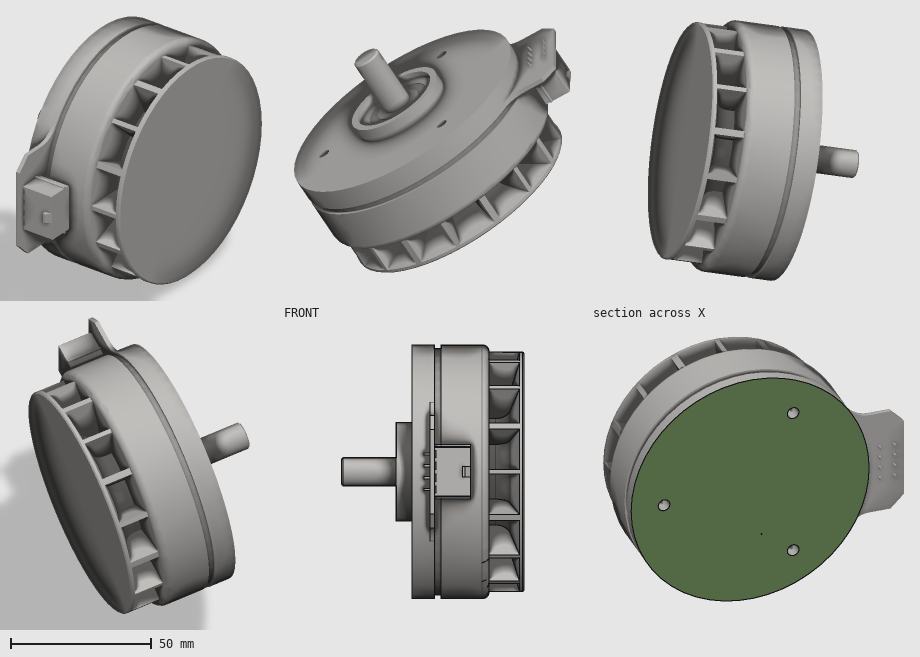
import cadquery as cq
import math


shaft_diameter = 10.0
shaft_tip_x = -25.0
shaft_chamfer = 0.6
boss_diameter = 35.0
boss_height = 5.6
bearing_seat_diameter = 30.0
bearing_seat_depth = 2.6
shield_outer_diameter = 23.4
shield_inner_diameter = 16.6
shield_depth = 0.3

body_diameter = 90.0
flange_thickness = 6.4
mount_hole_count = 3
mount_hole_diameter = 4.2
mount_hole_depth = 8.0
mount_hole_tip_angle = 118.0
mount_circle_radius = 32.5

board_thickness = 1.6
tab_end_y = -59.0
tab_width = 40.0
tab_corner_chamfer = 5.0
tab_root_radius = 10.0

air_gap = 2.4
gap_diameter = 87.5
bell_length = 17.0
bell_edge_radius = 2.5

fan_diameter = 85.0
blade_length = 10.8
rim_thickness = 1.6
rim_chamfer = 0.5
hub_diameter = 54.4
hub_curve_radius = 5.4
cone_root_x = 33.6
blade_pair_count = 8
main_blade_tip = 1.7
wide_blade_tip = 2.4

housing_near_y = -47.0
housing_far_y = -57.0
housing_width = 17.8
housing_height = 12.8
housing_chamfer = 0.3
rib_near_y = -49.0
rib_far_y = -49.9
rib_height = 0.7
latch_width = 3.6
latch_length = 2.9
latch_tip_length = 1.0
latch_height = 1.6
notch_width = 2.6
notch_height = 0.6
notch_depth = 1.0
side_notch_height = 0.25
side_notch_depth = 0.3

pin_rows_y = (-49.9, -55.2)
pin_pitch = 4.2
pins_per_row = 4
pin_size = 0.8
pin_protrusion = 2.1

board_front_x = flange_thickness
board_back_x = board_front_x + board_thickness
bell_front_x = board_back_x + air_gap
bell_back_x = bell_front_x + bell_length
rim_front_x = bell_back_x + blade_length
rim_back_x = rim_front_x + rim_thickness
body_radius = body_diameter / 2
fan_radius = fan_diameter / 2
hub_radius = hub_diameter / 2


def disc(diameter, x_start, x_end):
    """Cylinder about the motor axis between two stations."""
    return cq.Workplane("YZ", origin=(x_start, 0, 0)).circle(diameter / 2).extrude(x_end - x_start)


def block(x_start, x_end, y_start, y_end, z_center, z_width):
    """Box given by its X and Y limits and its width about a Z position."""
    return (
        cq.Workplane("XY", origin=(x_start, y_start, z_center - z_width / 2))
        .box(x_end - x_start, y_end - y_start, z_width, centered=False)
    )


def pin_heights():
    """Z positions of the pins in one row."""
    return [(i - (pins_per_row - 1) / 2) * pin_pitch for i in range(pins_per_row)]


def make_front_boss():
    """Bearing boss with a recessed bearing, its shield groove and the shaft."""
    seat_floor_x = -boss_height + bearing_seat_depth
    boss = disc(boss_diameter, -boss_height, 0)
    boss = boss.cut(disc(bearing_seat_diameter, -boss_height, seat_floor_x))
    shield_end_x = seat_floor_x + shield_depth
    shield = disc(shield_outer_diameter, seat_floor_x, shield_end_x)
    shield = shield.cut(disc(shield_inner_diameter, seat_floor_x, shield_end_x))
    shaft = disc(shaft_diameter, shaft_tip_x, 0).faces("<X").chamfer(shaft_chamfer)
    return boss.cut(shield).union(shaft)


def make_mount_holes():
    """Blind drilled holes with conical ends, the first one towards +Y."""
    radius = mount_hole_diameter / 2
    tip_length = radius / math.tan(math.radians(mount_hole_tip_angle / 2))
    drill = (
        cq.Workplane("XY")
        .polyline([(0, 0), (0, radius), (mount_hole_depth, radius), (mount_hole_depth + tip_length, 0)])
        .close()
        .revolve(360, (0, 0, 0), (1, 0, 0))
        .translate((0, mount_circle_radius, 0))
    )
    holes = cq.Workplane("XY")
    for i in range(mount_hole_count):
        holes = holes.union(drill.rotate((0, 0, 0), (1, 0, 0), i * 360 / mount_hole_count))
    return holes


def make_board():
    """Round board with a chamfered tab that flares into the disc."""
    half_width = tab_width / 2
    center_distance = body_radius + tab_root_radius
    root_z = half_width + tab_root_radius
    root_y = -math.sqrt(center_distance ** 2 - root_z ** 2)
    touch_ratio = body_radius / center_distance
    touch = (root_y * touch_ratio, root_z * touch_ratio)
    root_angle = math.atan2(root_z, -root_y)
    mid_angle = (-root_angle - math.pi / 2) / 2
    middle = (
        root_y + tab_root_radius * math.cos(mid_angle),
        root_z + tab_root_radius * math.sin(mid_angle),
    )
    tab = (
        cq.Workplane("YZ", origin=(board_front_x, 0, 0))
        .moveTo(0, touch[1])
        .lineTo(*touch)
        .threePointArc(middle, (root_y, half_width))
        .lineTo(tab_end_y + tab_corner_chamfer, half_width)
        .lineTo(tab_end_y, half_width - tab_corner_chamfer)
        .lineTo(tab_end_y, 0)
        .lineTo(0, 0)
        .close()
        .extrude(board_thickness)
    )
    tab = tab.union(tab.mirror("XY"))
    return disc(body_diameter, board_front_x, board_back_x).union(tab)


def make_bell():
    """Rotor bell with a rounded back edge."""
    return disc(body_diameter, bell_front_x, bell_back_x).faces(">X").edges().fillet(bell_edge_radius)


def make_fan_core():
    """Hub that curves into a cone and ends in the fan rim."""
    cone_angle = math.atan2(fan_radius - hub_radius, rim_front_x - cone_root_x)
    tangent_length = hub_curve_radius * math.tan(cone_angle / 2)
    curve_start_x = cone_root_x - tangent_length
    curve_end = (
        cone_root_x + tangent_length * math.cos(cone_angle),
        hub_radius + tangent_length * math.sin(cone_angle),
    )
    curve_middle = (
        curve_start_x + hub_curve_radius * math.sin(cone_angle / 2),
        hub_radius + hub_curve_radius * (1 - math.cos(cone_angle / 2)),
    )
    return (
        cq.Workplane("XY")
        .moveTo(bell_back_x, 0)
        .lineTo(bell_back_x, hub_radius)
        .lineTo(curve_start_x, hub_radius)
        .threePointArc(curve_middle, curve_end)
        .lineTo(rim_front_x, fan_radius)
        .lineTo(rim_back_x - rim_chamfer, fan_radius)
        .lineTo(rim_back_x, fan_radius - rim_chamfer)
        .lineTo(rim_back_x, 0)
        .close()
        .revolve(360, (0, 0, 0), (1, 0, 0))
    )


def make_blades():
    """Blades with radial faces that alternate between two tip thicknesses."""
    step = 180 / blade_pair_count
    blades = cq.Workplane("XY")
    for i in range(2 * blade_pair_count):
        thickness = wide_blade_tip if i % 2 else main_blade_tip
        blade = (
            cq.Workplane("YZ", origin=(bell_back_x, 0, 0))
            .polyline([(0, 0), (fan_radius, thickness / 2), (fan_radius, -thickness / 2)])
            .close()
            .extrude(blade_length)
        )
        blades = blades.union(blade.rotate((0, 0, 0), (1, 0, 0), i * step))
    return blades.intersect(disc(fan_diameter, bell_back_x, rim_front_x))


def make_connector():
    """Connector housing with rounded side ribs, a latch and notches at its base."""
    housing_end_x = board_back_x + housing_height
    housing = block(board_back_x, housing_end_x, housing_far_y, housing_near_y, 0, housing_width)
    housing = housing.edges("|X").chamfer(housing_chamfer)
    half_width = housing_width / 2
    rib_middle_y = (rib_near_y + rib_far_y) / 2
    ribs = (
        cq.Workplane("YZ", origin=(board_back_x, 0, 0))
        .moveTo(rib_near_y, -half_width)
        .lineTo(rib_near_y, half_width)
        .threePointArc((rib_middle_y, half_width + rib_height), (rib_far_y, half_width))
        .lineTo(rib_far_y, -half_width)
        .threePointArc((rib_middle_y, -half_width - rib_height), (rib_near_y, -half_width))
        .close()
        .extrude(housing_height)
    )
    latch_start_x = housing_end_x - latch_length
    latch = (
        cq.Workplane("XY")
        .polyline([
            (latch_start_x, housing_far_y),
            (latch_start_x, housing_far_y - latch_height),
            (latch_start_x + latch_tip_length, housing_far_y - latch_height),
            (housing_end_x, housing_far_y),
        ])
        .close()
        .extrude(latch_width / 2, both=True)
    )
    connector = housing.union(ribs).union(latch)
    notch_end_x = board_back_x + notch_height
    for z in pin_heights():
        notch = block(board_back_x, notch_end_x, housing_far_y, housing_far_y + notch_depth, z, notch_width)
        connector = connector.cut(notch)
    side_end_x = board_back_x + side_notch_height
    for side in (-1, 1):
        z = side * (housing_width - side_notch_depth) / 2
        side_notch = block(
            board_back_x, side_end_x, housing_far_y + housing_chamfer, rib_far_y, z, side_notch_depth
        )
        connector = connector.cut(side_notch)
    return connector


def make_pins():
    """Solder pins that taper towards the outer side of their row."""
    mean_y = sum(pin_rows_y) / len(pin_rows_y)
    tip_x = board_front_x - pin_protrusion
    pins = cq.Workplane("XY")
    for y in pin_rows_y:
        half_size = math.copysign(pin_size / 2, y - mean_y)
        for z in pin_heights():
            pin = (
                cq.Workplane("XY", origin=(0, y, z))
                .polyline([
                    (tip_x, half_size),
                    (board_back_x, half_size),
                    (board_back_x, -half_size),
                    (board_front_x, -half_size),
                ])
                .close()
                .extrude(pin_size / 2, both=True)
            )
            pins = pins.union(pin)
    return pins


result = (
    disc(body_diameter, 0, flange_thickness)
    .union(make_front_boss())
    .union(make_board())
    .union(disc(gap_diameter, board_back_x, bell_front_x))
    .union(make_bell())
    .union(make_fan_core())
    .union(make_blades())
    .union(make_connector())
    .union(make_pins())
    .cut(make_mount_holes())
)